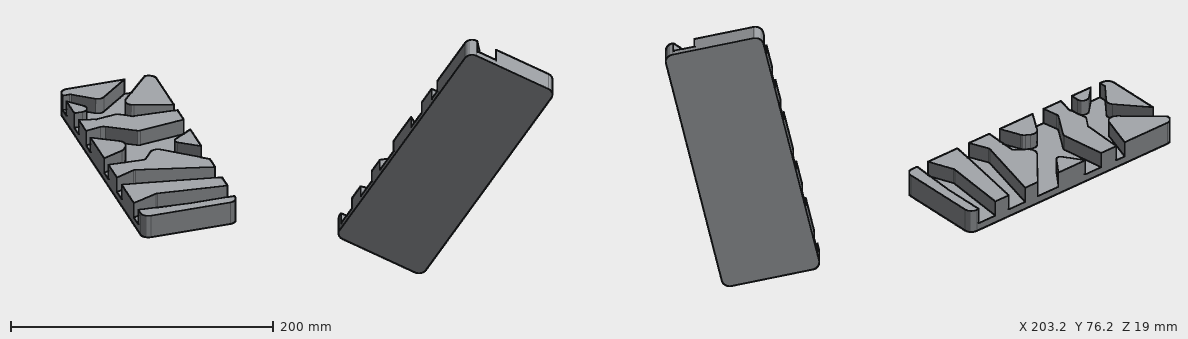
import cadquery as cq
import math

LENGTH = 203.2
WIDTH = 76.2
HEIGHT = 19.0
CORNER_RADIUS = 6.3
FLOOR_HEIGHT = 6.3

TOP_LEFT_ISLAND = [(0, 68.9), (36.4, 37.8, 6.3), (48.8, WIDTH), (0, WIDTH)]
LEFT_ISLAND = [(0, 0), (8.7, 0), (8.7, 6.0, 2.0), (23.8, 25.6, 5.3), (0, 52.6)]
SMALL_FRONT_ISLAND = [(17.7, 0), (37.0, 0), (37.0, 18.3, 5.0)]
LEFT_RIDGE = [
    (47.8, 0),
    (65.2, 0),
    (62.5, 14.2, 5.0),
    (77.8, 38.2, 3.0),
    (72.3, WIDTH),
    (57.0, WIDTH),
    (55.3, 40.6, 2.0),
    (48.4, 30.5, 2.0),
    (51.0, 13.0),
]
BACK_TRIANGLE = [(88.0, WIDTH), (101.2, 57.0, 3.0), (115.0, WIDTH)]
FRONT_ISLAND = [(76.0, 0), (109.1, 0), (101.5, 18.3, 6.3), (91.2, 24.5, 6.3)]
CENTRE_RIDGE = [
    (119.5, 0),
    (140.0, 0),
    (133.0, 16.0, 3.0),
    (148.3, WIDTH),
    (135.5, WIDTH),
    (106.0, 40.2, 6.3),
    (121.0, 29.0, 3.0),
]
RIGHT_RIDGE = [(151.4, 0), (180.8, 0), (172.5, 21.0, 3.0), (178.2, WIDTH), (164.8, WIDTH), (154.0, 16.0)]
RIGHT_BAR = [(191.6, 0), (LENGTH, 0), (LENGTH, WIDTH), (194.7, WIDTH), (194.7, 40.6)]

ISLANDS = [
    TOP_LEFT_ISLAND,
    LEFT_ISLAND,
    SMALL_FRONT_ISLAND,
    LEFT_RIDGE,
    BACK_TRIANGLE,
    FRONT_ISLAND,
    CENTRE_RIDGE,
    RIGHT_RIDGE,
    RIGHT_BAR,
]


def rounded_corner(before, corner, after):
    """Start, middle and end points of the arc that rounds one corner."""
    x, y, radius = corner
    to_before = cq.Vector(before[0] - x, before[1] - y).normalized()
    to_after = cq.Vector(after[0] - x, after[1] - y).normalized()
    half_angle = to_before.getAngle(to_after) / 2
    tangent_length = radius / math.tan(half_angle)
    middle_distance = radius / math.sin(half_angle) - radius
    tip = cq.Vector(x, y)
    start = tip + to_before * tangent_length
    middle = tip + (to_before + to_after).normalized() * middle_distance
    end = tip + to_after * tangent_length
    return [(point.x, point.y) for point in (start, middle, end)]


def island(corners):
    """Full-height prism; its first corner must be sharp."""
    outline = cq.Workplane("XY").moveTo(*corners[0])
    for index in range(1, len(corners)):
        corner = corners[index]
        if len(corner) == 2:
            outline = outline.lineTo(*corner)
        else:
            after = corners[(index + 1) % len(corners)]
            start, middle, end = rounded_corner(corners[index - 1], corner, after)
            outline = outline.lineTo(*start).threePointArc(middle, end)
    return outline.close().extrude(HEIGHT)


def plate(height):
    """Plate with rounded vertical corners."""
    block = cq.Workplane("XY").box(LENGTH, WIDTH, height, centered=False)
    return block.edges("|Z").fillet(CORNER_RADIUS)


result = plate(FLOOR_HEIGHT)
for corners in ISLANDS:
    result = result.union(island(corners).intersect(plate(HEIGHT)))